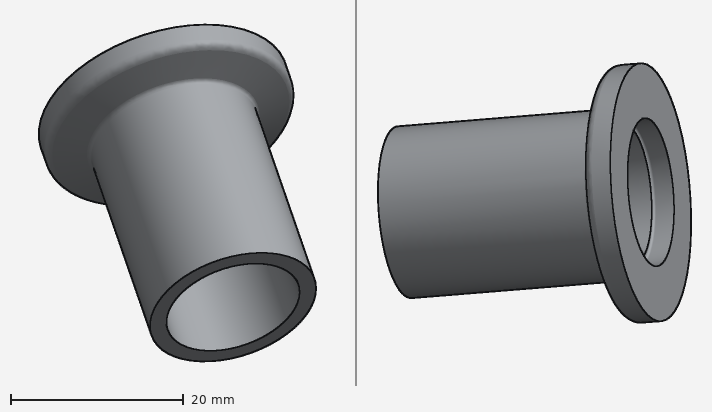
import cadquery as cq
import math

length = 30.0
flange_radius = 15.0
tube_radius = length / 3
bore_radius = 8.0
recess_radius = 8.6
recess_depth = 2.52
recess_floor_fillet = 0.3

cone_angle = math.radians(15)
cone_tube_x = 4.38
rim_fillet = 1.0
neck_fillet = 0.5

cone_rim_x = cone_tube_x - (flange_radius - tube_radius) * math.tan(cone_angle)


def make_body():
    """Solid flange and tube, with the rim and neck rounded."""
    body = (
        cq.Workplane("XY")
        .moveTo(0, 0)
        .lineTo(0, flange_radius)
        .lineTo(cone_rim_x, flange_radius)
        .lineTo(cone_tube_x, tube_radius)
        .lineTo(length, tube_radius)
        .lineTo(length, 0)
        .close()
        .revolve(360, (0, 0, 0), (1, 0, 0))
    )
    tolerance = 0.03
    rim = cq.selectors.BoxSelector(
        (cone_rim_x - tolerance, -length, -length),
        (cone_rim_x + tolerance, length, length),
    )
    neck = cq.selectors.BoxSelector(
        (cone_tube_x - tolerance, -length, -length),
        (cone_tube_x + tolerance, length, length),
    )
    return body.edges(rim).fillet(rim_fillet).edges(neck).fillet(neck_fillet)


def make_bore():
    """Through bore with a round-bottomed recess in the flange face."""
    bore = cq.Workplane("YZ").circle(bore_radius).extrude(length)
    recess = (
        cq.Workplane("YZ")
        .circle(recess_radius)
        .extrude(recess_depth)
        .faces(">X")
        .edges()
        .fillet(recess_floor_fillet)
    )
    return bore.union(recess)


result = make_body().cut(make_bore())